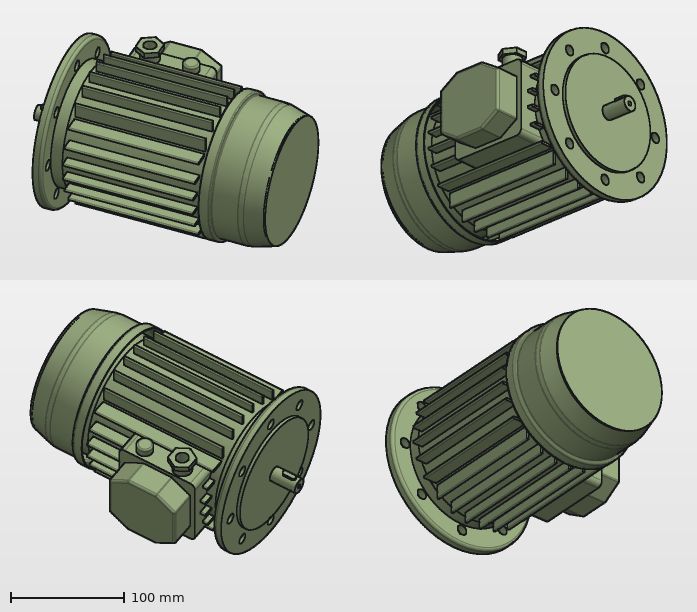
import cadquery as cq
import math


SHAFT_RADIUS = 7.0
CENTRE_HOLE_RADIUS = 2.0
CENTRE_HOLE_DEPTH = 3.5
KEY_START = 3.7
KEY_LENGTH = 13.5
KEY_WIDTH = 5.0
KEY_TOP = 9.0
KEY_HEIGHT = 5.0

SPIGOT_START = 26.5
SPIGOT_RADIUS = 55.0
FLANGE_START = 30.0
FLANGE_END = 38.5
FLANGE_DIAMETER = 160.0
FLANGE_RADIUS = FLANGE_DIAMETER / 2
FLANGE_FILLET = 3.0
BOLT_COUNT = 8
BOLT_CIRCLE_RADIUS = 65.0
BOLT_HOLE_RADIUS = 5.0

CASING_RADIUS = 59.0
FRAME_START = 49.7
FRAME_END = 184.5
FIN_START = 54.1
FIN_END = 179.3
FIN_TIP_RADIUS = 69.0
FIN_THICKNESS = 2.5
FIN_PITCH = 16.0
FINS_PER_SIDE = 6
SIDES = 4

COVER_START = 184.7
COVER_END = 245.0
COVER_WALL = 1.0
COLLAR_RADIUS = 69.0
COLLAR_END = 195.0
COLLAR_FILLET = 1.5
COLLAR_ROOT_FILLET = 0.7
COVER_RADIUS = 65.7
TAPER_START = 223.5
TAPER_END_RADIUS = 59.5
TAPER_BLEND_RADIUS = 19.5

BOX_REACH = 182.0 - FLANGE_RADIUS
BASE_START = 59.5
BASE_LENGTH = 79.9
BASE_HEIGHT = 75.0
BASE_TOP = 77.0
BASE_CORNER_RADIUS = 5.5
LID_LENGTH = 69.5
LID_HEIGHT = 66.2
LID_TOP = BOX_REACH
LID_CORNER_LENGTH = 19.8
LID_CORNER_HEIGHT = 12.2
LID_SIDE_FILLET = 1.5
LID_TOP_FILLET = 2.2

FITTING_Y = 66.5
GLAND_X = 79.9
GLAND_NECK_RADIUS = 9.0
GLAND_NECK_HEIGHT = 9.5
GLAND_HEX_ACROSS_FLATS = 22.0
GLAND_HEX_HEIGHT = 5.5
GLAND_HOLE_RADIUS = 6.0
PLUG_X = 119.5
PLUG_RADIUS = 7.5
PLUG_HEIGHT = 8.3
PLUG_FILLET = 1.7


def cylinder(start, end, radius):
    """A solid cylinder on the motor axis between two X positions."""
    return cq.Workplane("YZ", origin=(start, 0, 0)).circle(radius).extrude(end - start)


def make_key():
    """A round-ended key standing in the top of the shaft."""
    middle = KEY_START + KEY_LENGTH / 2
    return (
        cq.Workplane("XY", origin=(middle, 0, KEY_TOP - KEY_HEIGHT))
        .slot2D(KEY_LENGTH, KEY_WIDTH)
        .extrude(KEY_HEIGHT)
    )


def make_shaft():
    """The shaft end with its key and conical centre hole."""
    centre_hole = cq.Workplane(
        cq.Solid.makeCone(CENTRE_HOLE_RADIUS, 0, CENTRE_HOLE_DEPTH, dir=cq.Vector(1, 0, 0))
    )
    return cylinder(0, FLANGE_START, SHAFT_RADIUS).union(make_key()).cut(centre_hole)


def make_flange():
    """The round flange with its spigot and a circle of bolt holes."""
    plate = cylinder(FLANGE_START, FLANGE_END, FLANGE_RADIUS).edges(">X").fillet(FLANGE_FILLET)
    holes = (
        cq.Workplane("YZ", origin=(FLANGE_START, 0, 0))
        .polarArray(BOLT_CIRCLE_RADIUS, 0, 360, BOLT_COUNT)
        .circle(BOLT_HOLE_RADIUS)
        .extrude(FLANGE_END - FLANGE_START)
    )
    return plate.cut(holes).union(cylinder(SPIGOT_START, FLANGE_START, SPIGOT_RADIUS))


def make_fin(offset):
    """One upright fin with a fully rounded tip, at a sideways offset from the motor axis."""
    root = FIN_PITCH
    tip = math.sqrt(FIN_TIP_RADIUS**2 - offset**2)
    half_thickness = FIN_THICKNESS / 2
    shoulder = tip - half_thickness
    return (
        cq.Workplane("YZ", origin=(FIN_START, 0, 0))
        .moveTo(offset - half_thickness, root)
        .lineTo(offset - half_thickness, shoulder)
        .threePointArc((offset, tip), (offset + half_thickness, shoulder))
        .lineTo(offset + half_thickness, root)
        .close()
        .extrude(FIN_END - FIN_START)
    )


def add_fins(frame):
    """Parallel fins on all four sides, with their tips on one cylinder."""
    for side in range(SIDES):
        for index in range(FINS_PER_SIDE):
            offset = (index - (FINS_PER_SIDE - 1) / 2) * FIN_PITCH
            fin = make_fin(offset).rotate((0, 0, 0), (1, 0, 0), side * 360 / SIDES)
            frame = frame.union(fin)
    return frame


def make_terminal_box():
    """The rounded base and the lid with cut corners, on the +Y side of the casing."""
    middle_x = BASE_START + BASE_LENGTH / 2
    base_bottom = math.sqrt(CASING_RADIUS**2 - (BASE_HEIGHT / 2) ** 2)
    base = (
        cq.Workplane("XZ", origin=(middle_x, BASE_TOP, 0))
        .rect(BASE_LENGTH, BASE_HEIGHT)
        .extrude(BASE_TOP - base_bottom)
        .edges("|Y")
        .fillet(BASE_CORNER_RADIUS)
    )
    half_length = LID_LENGTH / 2
    half_height = LID_HEIGHT / 2
    flat_length = half_length - LID_CORNER_LENGTH
    flat_height = half_height - LID_CORNER_HEIGHT
    lid = (
        cq.Workplane("XZ", origin=(middle_x, LID_TOP, 0))
        .moveTo(half_length, -flat_height)
        .lineTo(half_length, flat_height)
        .lineTo(flat_length, half_height)
        .lineTo(-flat_length, half_height)
        .lineTo(-half_length, flat_height)
        .lineTo(-half_length, -flat_height)
        .lineTo(-flat_length, -half_height)
        .lineTo(flat_length, -half_height)
        .close()
        .extrude(LID_TOP - BASE_TOP)
        .edges("|Y")
        .fillet(LID_SIDE_FILLET)
        .faces(">Y")
        .edges()
        .fillet(LID_TOP_FILLET)
    )
    return base.union(lid)


def make_gland():
    """A hexagonal cable gland on a round neck, with an open bore."""
    base_z = BASE_HEIGHT / 2
    neck_top = base_z + GLAND_NECK_HEIGHT
    neck = (
        cq.Workplane("XY", origin=(GLAND_X, FITTING_Y, base_z))
        .circle(GLAND_NECK_RADIUS)
        .extrude(GLAND_NECK_HEIGHT)
    )
    hexagon = (
        cq.Workplane("XY", origin=(GLAND_X, FITTING_Y, neck_top))
        .polygon(6, GLAND_HEX_ACROSS_FLATS, circumscribed=True)
        .extrude(GLAND_HEX_HEIGHT)
    )
    return neck.union(hexagon).faces(">Z").workplane().hole(2 * GLAND_HOLE_RADIUS)


def make_plug():
    """A round blanking plug with a rounded rim."""
    return (
        cq.Workplane("XY", origin=(PLUG_X, FITTING_Y, BASE_HEIGHT / 2))
        .circle(PLUG_RADIUS)
        .extrude(PLUG_HEIGHT)
        .edges(">Z")
        .fillet(PLUG_FILLET)
    )


def make_drive_end():
    """Shaft with key, mounting flange and the round shield behind it."""
    return (
        make_flange()
        .union(cylinder(FLANGE_END, FRAME_START, CASING_RADIUS))
        .union(make_shaft())
    )


def make_frame():
    """The finned casing with the terminal box and its fittings."""
    casing = cylinder(FRAME_START, FRAME_END, CASING_RADIUS)
    return (
        add_fins(casing)
        .union(make_terminal_box())
        .union(make_gland())
        .union(make_plug())
    )


def circles_at(x, reach=0.2):
    """A selector for the circular edges at one X position."""
    far = 2 * COLLAR_RADIUS
    return cq.selectors.BoxSelector((x - reach, -far, -far), (x + reach, far, far), boundingbox=True)


def make_fan_cover():
    """A thin-walled collar and tapered hood, open towards the casing and closed at the rear."""
    return (
        cq.Workplane("XY")
        .moveTo(COVER_START, 0)
        .lineTo(COVER_START, COLLAR_RADIUS)
        .lineTo(COLLAR_END, COLLAR_RADIUS)
        .lineTo(COLLAR_END, COVER_RADIUS)
        .lineTo(TAPER_START, COVER_RADIUS)
        .lineTo(COVER_END, TAPER_END_RADIUS)
        .lineTo(COVER_END, 0)
        .close()
        .revolve(360, (0, 0, 0), (1, 0, 0))
        .edges(circles_at(TAPER_START))
        .fillet(TAPER_BLEND_RADIUS)
        .edges(circles_at(COLLAR_END))
        .edges(cq.selectors.RadiusNthSelector(-1))
        .fillet(COLLAR_FILLET)
        .edges(circles_at(COLLAR_END))
        .edges(cq.selectors.RadiusNthSelector(0))
        .fillet(COLLAR_ROOT_FILLET)
        .faces("<X")
        .shell(-COVER_WALL)
    )


def make_rear_end():
    """The rear shield, running back inside the fan cover to its end wall."""
    return make_fan_cover().union(cylinder(FRAME_END, COVER_END, CASING_RADIUS))


drive_end = make_drive_end()
frame = make_frame()
rear_end = make_rear_end()

result = cq.Compound.makeCompound([drive_end.val(), frame.val(), rear_end.val()])